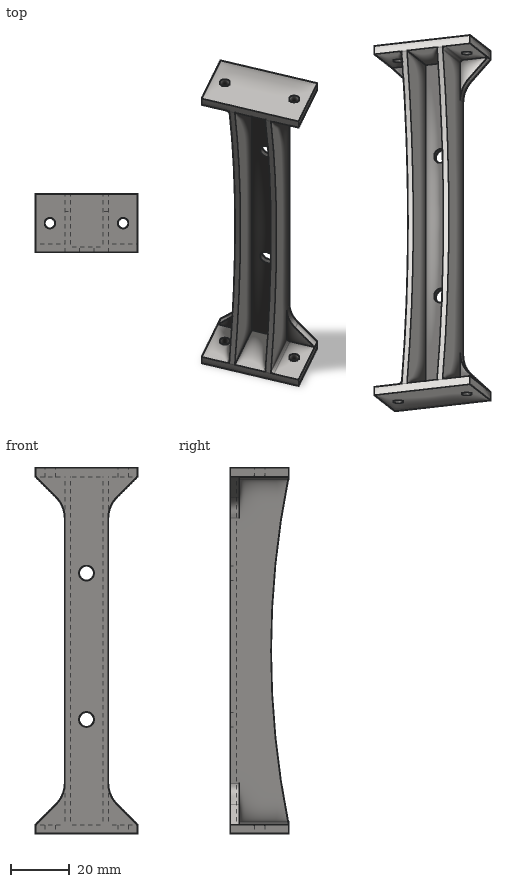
import cadquery as cq

height = 125.0
width = 35.0
depth = 20.0

wall = 3.0
channel_wall = 2.0
web_width = 15.0
web_mid_depth = 14.0
flare_radius = 10.0
root_fillet = 1.0

mount_hole_diameter = 5.0
mount_hole_spacing = 50.0
mount_hole_offset = 1.5
flange_hole_diameter = 3.5
flange_hole_spacing = 25.0

half_height = height / 2
half_width = width / 2
half_web = web_width / 2
flange_inner = half_height - wall
flare_end = flange_inner - (half_width - half_web)


def make_front_plate():
    """Plate with the full front outline, flaring out to both flanges."""
    right = [
        (half_width, -half_height),
        (half_width, -flange_inner),
        (half_web, -flare_end),
        (half_web, flare_end),
        (half_width, flange_inner),
        (half_width, half_height),
    ]
    left = [(-x, z) for x, z in reversed(right)]
    plate = cq.Workplane("XZ").polyline(right + left).close().extrude(-wall)
    margin = wall / 10
    corners = cq.selectors.BoxSelector(
        (-half_web - margin, -margin, -flare_end - margin),
        (half_web + margin, wall + margin, flare_end + margin),
    )
    return plate.edges("|Y").edges(corners).fillet(flare_radius)


def make_web():
    """Central web whose back face is hollowed by a shallow arc."""
    return (
        cq.Workplane("YZ")
        .moveTo(0, -flange_inner)
        .lineTo(depth, -flange_inner)
        .threePointArc((web_mid_depth, 0), (depth, flange_inner))
        .lineTo(0, flange_inner)
        .close()
        .extrude(half_web, both=True)
    )


def make_flange(side):
    """End flange; side is +1 for the top and -1 for the bottom."""
    return cq.Workplane("XY").box(width, depth, wall).translate(
        (0, depth / 2, side * (half_height - wall / 2))
    )


def make_root_fillet(x_side, z_side):
    """Concave fillet strip between one side of the web and one flange."""
    return (
        cq.Workplane("XZ")
        .moveTo(x_side * half_web, z_side * flange_inner)
        .lineTo(x_side * (half_web + root_fillet), z_side * flange_inner)
        .radiusArc(
            (x_side * half_web, z_side * (flange_inner - root_fillet)),
            -root_fillet * x_side * z_side,
        )
        .close()
        .extrude(-depth)
    )


body = make_front_plate().union(make_web())
for z_side in (-1, 1):
    body = body.union(make_flange(z_side))
    for x_side in (-1, 1):
        body = body.union(make_root_fillet(x_side, z_side))

channel = cq.Workplane("XY").box(web_width - 2 * channel_wall, depth, 2 * flange_inner).translate(
    (0, channel_wall + depth / 2, 0)
)

mount_holes = (
    cq.Workplane("XZ")
    .center(0, mount_hole_offset)
    .rarray(1.2, mount_hole_spacing, 1, 2)
    .circle(mount_hole_diameter / 2)
    .extrude(-channel_wall)
)

flange_holes = (
    cq.Workplane("XY")
    .center(0, depth / 2)
    .rarray(flange_hole_spacing, 1.2, 2, 1)
    .circle(flange_hole_diameter / 2)
    .extrude(half_height, both=True)
)

result = body.cut(channel).cut(mount_holes).cut(flange_holes)